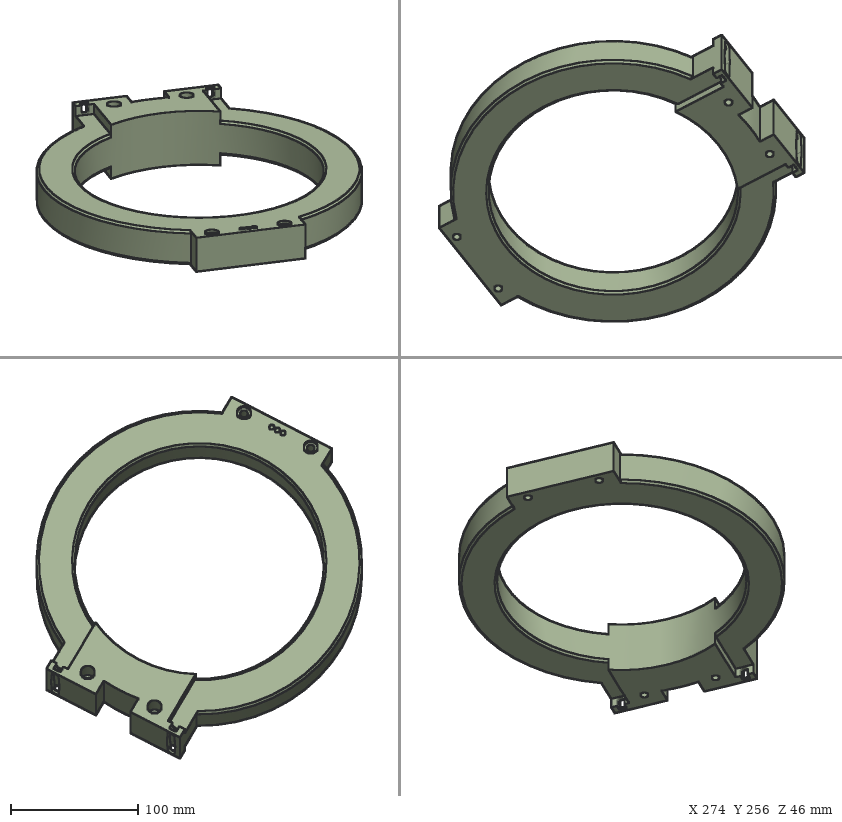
import cadquery as cq

ring_outer_radius = 128.0
ring_inner_radius = 98.0
ring_height = 29.0
ring_chamfer = 2.0

block_face_x = -140.0
block_height = 46.0
block_inner_x = -80.0
core_width = 90.0
plate_width = 120.0
plate_thickness = 8.0
notch_width = 31.0
plate_back_x = block_face_x + plate_thickness
shoulder_end_x = -105.0

pad_face_x = 134.0
pad_width = 90.0
pad_root_x = 108.0

screw_x = 127.0
screw_spacing = 60.0
screw_diameter = 6.0
head_diameter = 11.0
block_head_depth = 20.0
pad_head_depth = 2.5

pin_diameter = 4.0
pin_pitch = 5.0
pin_depth = 1.0
pin_count = 3

plate_hole_y = 52.0
plate_hole_z = 18.5
plate_hole_diameter = 6.0
slot_front_wall = 3.0
groove_depth = 4.7
groove_mid_width = 7.5
slot_rounding = 0.5
selection_margin = 0.1


def box_between(x_min, x_max, width, height):
    """Box spanning x_min to x_max, centred on Y and Z."""
    return cq.Workplane("XY").box(x_max - x_min, width, height).translate(((x_min + x_max) / 2, 0, 0))


def disc(radius, height):
    """Solid cylinder about the Z axis, centred on Z."""
    return cq.Workplane("XY").circle(radius).extrude(height).translate((0, 0, -height / 2))


def make_ring():
    """Plain ring with both rims of each face chamfered."""
    ring = disc(ring_outer_radius, ring_height).cut(disc(ring_inner_radius, ring_height))
    return ring.faces("|Z").edges().chamfer(ring_chamfer)


def plate_cutouts(y):
    """Upper and lower plate holes at one Y, their end slots and the groove between them."""
    hole_radius = plate_hole_diameter / 2
    mid = groove_mid_width / 2
    face = cq.Workplane("YZ", origin=(block_face_x, y, 0))
    cutouts = (
        face.moveTo(-hole_radius, -plate_hole_z)
        .lineTo(-mid, 0)
        .lineTo(-hole_radius, plate_hole_z)
        .lineTo(hole_radius, plate_hole_z)
        .lineTo(mid, 0)
        .lineTo(hole_radius, -plate_hole_z)
        .close()
        .extrude(groove_depth)
    )
    slot_plane = cq.Workplane("YZ", origin=(block_face_x + slot_front_wall, y, 0))
    slot_height = block_height / 2 - plate_hole_z
    for direction in (-1, 1):
        hole = face.center(0, direction * plate_hole_z).circle(hole_radius).extrude(plate_thickness)
        slot_z = direction * (plate_hole_z + slot_height / 2)
        slot = (
            slot_plane.center(0, slot_z)
            .rect(plate_hole_diameter, slot_height)
            .extrude(plate_thickness - slot_front_wall)
        )
        cutouts = cutouts.union(hole).union(slot)
    return cutouts


def make_plate():
    """End plate with its holes, grooves and slots, the slot rims rounded on the back face."""
    plate = box_between(block_face_x, plate_back_x, plate_width, block_height)
    for side in (-1, 1):
        plate = plate.cut(plate_cutouts(side * plate_hole_y))
    rim_half_width = plate_hole_diameter / 2 + selection_margin
    for side in (-1, 1):
        rim = cq.selectors.BoxSelector(
            (plate_back_x - selection_margin, side * plate_hole_y - rim_half_width, -block_height),
            (plate_back_x + selection_margin, side * plate_hole_y + rim_half_width, block_height),
        )
        plate = plate.edges(rim).fillet(slot_rounding)
    return plate


def make_block():
    """Full-height core, ring-height shoulders and end plate, trimmed to the bore and notched."""
    core = box_between(plate_back_x, block_inner_x, core_width, block_height)
    shoulders = box_between(plate_back_x, shoulder_end_x, plate_width, ring_height)
    block = core.union(shoulders).union(make_plate()).cut(disc(ring_inner_radius, block_height))
    notch = box_between(block_face_x, -ring_inner_radius, notch_width, block_height)
    return block.cut(notch.cut(disc(ring_outer_radius, block_height)))


def make_pad():
    """Flat pad merging into the ring."""
    return box_between(pad_root_x, pad_face_x, pad_width, ring_height)


def vertical_screw_holes(x, top_z, head_depth):
    """Pair of counterbored through holes opening at top_z."""
    spots = [(x, -screw_spacing / 2), (x, screw_spacing / 2)]
    shanks = cq.Workplane("XY").pushPoints(spots).circle(screw_diameter / 2).extrude(block_height, both=True)
    top = cq.Workplane("XY", origin=(0, 0, top_z))
    heads = top.pushPoints(spots).circle(head_diameter / 2).extrude(-head_depth)
    return shanks.union(heads)


def pin_holes():
    """Row of small blind holes along Y, midway between the pad screws."""
    top = cq.Workplane("XY", origin=(screw_x, 0, ring_height / 2))
    return top.rarray(1, pin_pitch, 1, pin_count).circle(pin_diameter / 2).extrude(-pin_depth)


result = make_ring().union(make_block()).union(make_pad())
result = result.cut(vertical_screw_holes(-screw_x, block_height / 2, block_head_depth))
result = result.cut(vertical_screw_holes(screw_x, ring_height / 2, pad_head_depth))
result = result.cut(pin_holes())